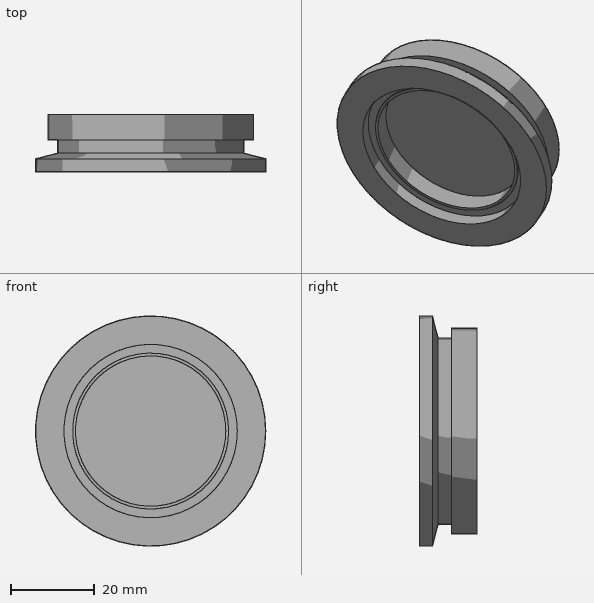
import cadquery as cq

total_length = 13.72
flange_diameter = 54.86
neck_diameter = 44.45
hub_diameter = 49.02

rim_width = 3.1
taper_width = 1.35
hub_width = 6.1

seat_diameter = 41.3
seat_depth = 3.05
lip_diameter = 37.15
lip_depth = 2.65
bore_diameter = 35.8
bore_depth = 7.2

face_y = -total_length / 2


def disc(diameter, start, end):
    """Cylinder on the Y axis between two distances from the open face."""
    plane = cq.Plane(origin=(0, face_y + start, 0), xDir=(1, 0, 0), normal=(0, 1, 0))
    return cq.Workplane(plane).circle(diameter / 2).extrude(end - start)


def outer_body():
    """Rim, tapered clamp shoulder, neck and hub as one revolved outline."""
    back_y = face_y + total_length
    rim_y = face_y + rim_width
    hub_y = back_y - hub_width
    return (
        cq.Workplane("XY")
        .moveTo(0, face_y)
        .lineTo(flange_diameter / 2, face_y)
        .lineTo(flange_diameter / 2, rim_y)
        .lineTo(neck_diameter / 2, rim_y + taper_width)
        .lineTo(neck_diameter / 2, hub_y)
        .lineTo(hub_diameter / 2, hub_y)
        .lineTo(hub_diameter / 2, back_y)
        .lineTo(0, back_y)
        .close()
        .revolve(360, (0, 0, 0), (0, 1, 0))
    )


def stepped_recess():
    """Seat for the centering ring, a low raised lip, and a flat-bottomed bore inside the lip."""
    seat = disc(seat_diameter, 0, seat_depth)
    lip = disc(lip_diameter, lip_depth, seat_depth)
    bore = disc(bore_diameter, 0, bore_depth)
    return seat.cut(lip).union(bore)


result = outer_body().cut(stepped_recess())